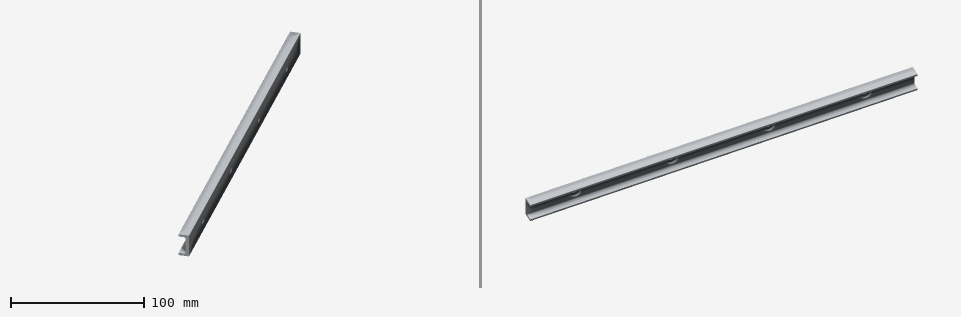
import cadquery as cq

width = 8.3
length = 320.0
height = 18.0

flange_thickness = 2.0
web_thickness = 3.0

inner_radius = 1.02
outer_radius = 0.25

hole_count = 4
hole_pitch = length / hole_count
hole_diameter = 5.0
counterbore_diameter = 9.5
counterbore_depth = 2.0

web_face_x = width / 2 - web_thickness


def make_channel():
    """C-shaped rail running along Y, with slightly rounded outer edges and filleted inner corners."""
    outer = cq.Workplane("XY").box(width, length, height)
    outer = outer.edges("|Y").fillet(outer_radius)
    cavity_width = width - web_thickness
    cavity_height = height - 2 * flange_thickness
    cavity = (
        cq.Workplane("XY")
        .box(cavity_width, length, cavity_height)
        .edges("|Y and >X")
        .fillet(inner_radius)
        .translate((web_face_x - cavity_width / 2, 0, 0))
    )
    return outer.cut(cavity)


def drill_mounting_holes(rail):
    """Row of evenly spaced holes, counterbored from inside the channel."""
    web_face = cq.Workplane("YZ", origin=(web_face_x, 0, 0))
    centers = web_face.rarray(hole_pitch, 3.2, hole_count, 1)
    holes = centers.circle(hole_diameter / 2).extrude(web_thickness)
    counterbores = centers.circle(counterbore_diameter / 2).extrude(counterbore_depth)
    return rail.cut(holes).cut(counterbores)


result = drill_mounting_holes(make_channel())